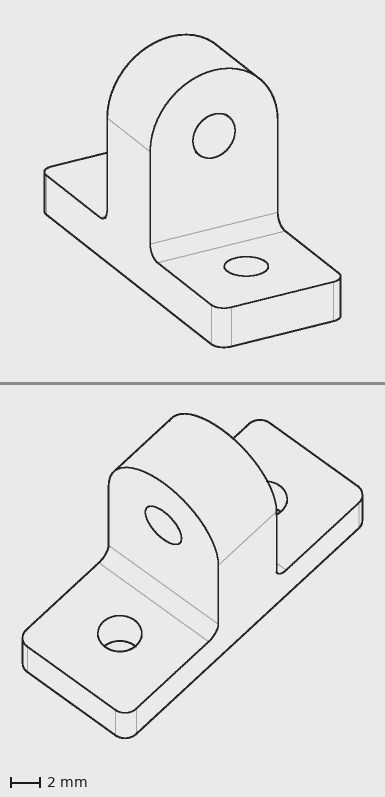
import cadquery as cq

base_length = 25
width = 10
base_thickness = 3
corner_radius = 1
mounting_hole_diameter = 3
mounting_hole_spacing = 15

lug_thickness = 6
total_height = 16
lug_radius = width / 2
pivot_height = total_height - lug_radius
pivot_hole_diameter = 3.3
root_fillet_radius = 1


def make_base():
    """Plate with rounded vertical corners, resting on Z = 0."""
    plate = cq.Workplane("XY").box(base_length, width, base_thickness, centered=(True, True, False))
    return plate.edges("|Z").fillet(corner_radius)


def make_lug():
    """Upright centred on the plate, its top round about the pivot axis."""
    return (
        cq.Workplane("YZ")
        .moveTo(-lug_radius, 0)
        .lineTo(lug_radius, 0)
        .lineTo(lug_radius, pivot_height)
        .threePointArc((0, total_height), (-lug_radius, pivot_height))
        .close()
        .extrude(lug_thickness / 2, both=True)
    )


def make_mounting_holes():
    """Vertical through holes, one on each side of the lug."""
    half_spacing = mounting_hole_spacing / 2
    return (
        cq.Workplane("XY")
        .pushPoints([(-half_spacing, 0), (half_spacing, 0)])
        .circle(mounting_hole_diameter / 2)
        .extrude(base_thickness)
    )


def make_pivot_hole():
    """Through hole along X, concentric with the round top of the lug."""
    return (
        cq.Workplane("YZ")
        .center(0, pivot_height)
        .circle(pivot_hole_diameter / 2)
        .extrude(lug_thickness / 2, both=True)
    )


body = make_base().union(make_lug())

for side in (-1, 1):
    root_point = (side * lug_thickness / 2, 0, base_thickness)
    body = body.edges(cq.selectors.NearestToPointSelector(root_point)).fillet(root_fillet_radius)

result = body.cut(make_mounting_holes()).cut(make_pivot_hole())